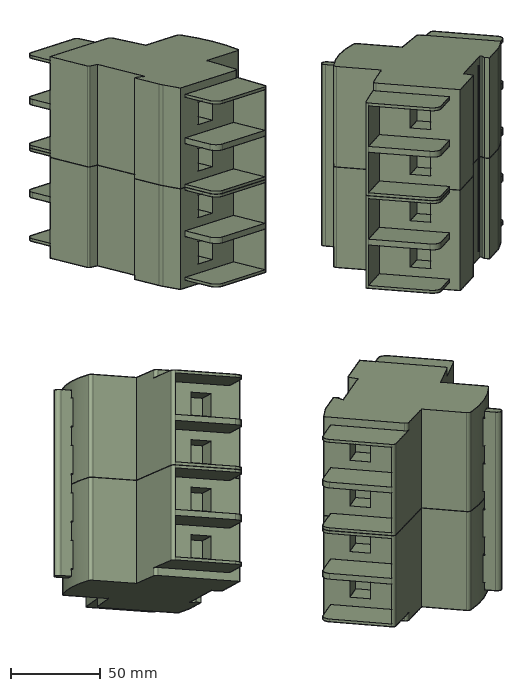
import cadquery as cq
import math


pole_pitch = 27.0
poles_per_half = 2
half_stack = poles_per_half * pole_pitch
end_plate_thickness = 4.5
half_height = half_stack + end_plate_thickness
housing_gap = 0.1

housing_half_width = 47.5
neck_half_width = 22.7
neck_base_y = 52.3
neck_shoulder_y = 79.7
dome_top_y = 82.5
dome_corner_radius = 2.1
shoulder_angle = 4.5
shoulder_corner_radius = 2.0

slot_depth = 6.1
slot_left_x = -17.8
slot_left_lean = 10.0
slot_left_edge_radius = 1.0
slot_right_x = 17.3
hook_x = 15.3
hook_upper_y = 5.0
hook_lower_y = hook_upper_y - (slot_right_x - hook_x)

ramp_angle = 9.0
ramp_start_x = 34.8
ramp_blend_radius = 18.0

rib_left_x = 12.9
rib_width = 1.4
rib_height = 0.5

shroud_half_width = 71.0
roof_corner_radius = 2.0
fin_thickness = 1.7
fin_bottom_y = slot_depth
fin_bottom_radius = 5.0

terminal_bottom_y = 17.0
terminal_top_y = 28.8
terminal_height = 13.0
terminal_depth = 14.2

bar_width = 5.7
bar_top_y = 92.6
bar_bottom_y = 83.5
bar_length = 105.6
foot_length = 16.2

pole_centres = [(index + 0.5) * pole_pitch for index in range(poles_per_half)]
overlap = 1.4


def tan_deg(angle):
    return math.tan(math.radians(angle))


def shoulder_y(x):
    """Y of the sloped shoulder at a distance x from the middle."""
    return neck_base_y - (x - neck_half_width) * tan_deg(shoulder_angle)


def block(x0, x1, y0, y1, z0, z1):
    """Box between two opposite corners."""
    return cq.Workplane("XY").box(x1 - x0, y1 - y0, z1 - z0, centered=False).translate((x0, y0, z0))


def round_corners(solid, points, radius):
    """Round the edges along Z that pass through the given XY points."""
    reach = 0.1
    for x, y in points:
        corner = cq.selectors.BoxSelector(
            (x - reach, y - reach, -overlap), (x + reach, y + reach, half_height + overlap)
        )
        solid = solid.edges("|Z").edges(corner).fillet(radius)
    return solid


def both_sides(x, y):
    return [(-x, y), (x, y)]


def housing_core():
    """Domed housing cross-section with its rail slot, over the poles and the end plate."""
    slot_left_bottom_x = slot_left_x - slot_depth * tan_deg(slot_left_lean)
    ramp_end_y = (housing_half_width - ramp_start_x) * tan_deg(ramp_angle)
    side_top_y = shoulder_y(housing_half_width)
    core = (
        cq.Workplane("XY")
        .moveTo(-housing_half_width, 0)
        .lineTo(slot_left_bottom_x, 0)
        .lineTo(slot_left_x, slot_depth)
        .lineTo(slot_right_x, slot_depth)
        .lineTo(slot_right_x, hook_upper_y)
        .lineTo(hook_x, hook_lower_y)
        .lineTo(hook_x, 0)
        .lineTo(ramp_start_x, 0)
        .lineTo(housing_half_width, ramp_end_y)
        .lineTo(housing_half_width, side_top_y)
        .lineTo(neck_half_width, neck_base_y)
        .lineTo(neck_half_width, neck_shoulder_y)
        .threePointArc((0, dome_top_y), (-neck_half_width, neck_shoulder_y))
        .lineTo(-neck_half_width, neck_base_y)
        .lineTo(-housing_half_width, side_top_y)
        .close()
        .extrude(half_height)
    )
    core = round_corners(core, [(slot_left_bottom_x, 0)], slot_left_edge_radius)
    core = round_corners(core, [(ramp_start_x, 0)], ramp_blend_radius)
    core = round_corners(core, both_sides(neck_half_width, neck_shoulder_y), dome_corner_radius)
    return round_corners(core, both_sides(housing_half_width, side_top_y), shoulder_corner_radius)


def shrouds():
    """Roofs and fins that stand out on both sides, as one piece running through the housing."""
    roof_end_y = shoulder_y(shroud_half_width)
    roof_underside_y = roof_end_y - roof_corner_radius * tan_deg((90 - shoulder_angle) / 2)
    body = (
        cq.Workplane("XY")
        .moveTo(-shroud_half_width, fin_bottom_y)
        .lineTo(shroud_half_width, fin_bottom_y)
        .lineTo(shroud_half_width, roof_end_y)
        .lineTo(neck_half_width, neck_base_y)
        .lineTo(-neck_half_width, neck_base_y)
        .lineTo(-shroud_half_width, roof_end_y)
        .close()
        .extrude(half_stack)
    )
    body = round_corners(body, both_sides(shroud_half_width, fin_bottom_y), fin_bottom_radius)
    body = round_corners(body, both_sides(shroud_half_width, roof_end_y), roof_corner_radius)
    bay_half_width = shroud_half_width + overlap
    bay_half_height = pole_pitch / 2 - fin_thickness
    for centre in pole_centres:
        body = body.cut(
            block(-bay_half_width, bay_half_width, 0, roof_underside_y,
                  centre - bay_half_height, centre + bay_half_height)
        )
    return body


def slot_rib():
    return block(rib_left_x, rib_left_x + rib_width, slot_depth - rib_height, slot_depth, 0, half_stack)


def terminal_pockets():
    """Rectangular pockets entering the housing from both sides."""
    pockets = []
    for centre in pole_centres:
        for inner_x in (-housing_half_width, housing_half_width - terminal_depth):
            pockets.append(
                block(inner_x, inner_x + terminal_depth, terminal_bottom_y, terminal_top_y,
                      centre - terminal_height / 2, centre + terminal_height / 2)
            )
    return pockets


def housing_half():
    """Upper housing half: two poles and an end plate."""
    half = housing_core().union(shrouds()).union(slot_rib())
    for pocket in terminal_pockets():
        half = half.cut(pocket)
    clearance = block(-shroud_half_width, shroud_half_width, 0, bar_top_y, 0, housing_gap / 2)
    return half.cut(clearance)


def operating_bar(housings):
    """Round-topped bar whose feet rest on the domes of the housings."""
    radius = bar_width / 2
    bar = (
        cq.Workplane("XY")
        .moveTo(-radius, bar_bottom_y)
        .lineTo(radius, bar_bottom_y)
        .lineTo(radius, bar_top_y - radius)
        .threePointArc((0, bar_top_y), (-radius, bar_top_y - radius))
        .close()
        .extrude(bar_length / 2, both=True)
    )
    for distance in pole_centres:
        for centre in (-distance, distance):
            foot = block(-radius, radius, dome_top_y - overlap, bar_bottom_y,
                         centre - foot_length / 2, centre + foot_length / 2)
            bar = bar.union(foot)
    for housing in housings:
        bar = bar.cut(housing)
    return bar


upper_housing = housing_half()
lower_housing = upper_housing.mirror("XY")
switch_bar = operating_bar([upper_housing, lower_housing])

result = cq.Compound.makeCompound([upper_housing.val(), lower_housing.val(), switch_bar.val()])